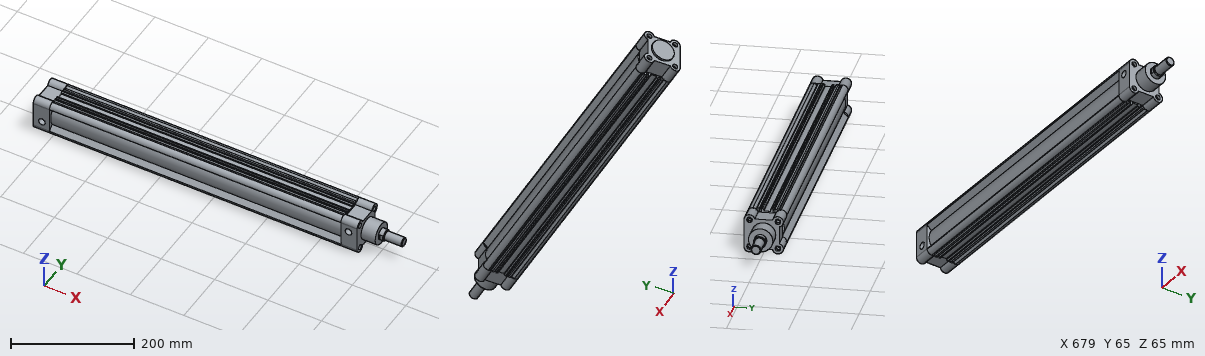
import cadquery as cq
import math

total_length = 679.0
cap_size = 65.0
half_size = cap_size / 2
boss_length = 3.5
cap_length = 30.5
collar_length = 26.5
wrench_length = 10.0
thread_length = 32.5

rear_cap_x = boss_length
barrel_x = rear_cap_x + cap_length
thread_x = total_length - thread_length
wrench_x = thread_x - wrench_length
front_cap_end = wrench_x - collar_length
front_cap_x = front_cap_end - cap_length
barrel_length = front_cap_x - barrel_x

screw_spacing = 47.0
corner_offset = screw_spacing / 2
corner_radius = half_size - corner_offset

recess_depth = 7.0
collar_diameter = 40.0
port_diameter = 12.0
port_depth = 10.0
port_inset = 16.0
port_offset = 9.5
screw_mouth_diameter = 9.0
screw_mouth_depth = 5.5
screw_hole_diameter = 7.0
screw_hole_depth = 13.5

tube_radius = 28.5
slot_floor = 28.0
rail_inner = 5.5
slot_inner = 9.5
slot_outer = 13.0
rail_outer = 18.0
rail_chamfer = 2.0

rod_diameter = 20.5
flat_width = 17.5
flat_margin = 2.0
rod_chamfer = 1.5
thread_diameter = 16.0
thread_chamfer = 1.5

CORNERS = [(y * corner_offset, z * corner_offset) for y in (-1, 1) for z in (-1, 1)]


def section_plane(x):
    """YZ plane at x, whose extrusions run toward +X."""
    return cq.Workplane("YZ", origin=(x, 0, 0))


def cap_block(x):
    """Cap with a flat port side at -Y and recesses between round corner lobes elsewhere."""
    core_half = half_size - recess_depth
    core = section_plane(x).rect(2 * core_half, 2 * core_half).extrude(cap_length)
    lobes = section_plane(x).pushPoints(CORNERS).circle(corner_radius).extrude(cap_length)
    port_side = (
        section_plane(x)
        .center(-(half_size + corner_offset) / 2, 0)
        .rect(corner_radius, 2 * corner_offset)
        .extrude(cap_length)
    )
    return core.union(lobes).union(port_side)


def port(x, z):
    """Cutter for an air port in the -Y side."""
    return cq.Workplane("XZ", origin=(x, -half_size, z)).circle(port_diameter / 2).extrude(-port_depth)


def screw_holes(face_x, inward):
    """Cutter for the four stepped screw holes; inward is +1 or -1 along X."""
    at_corners = section_plane(face_x).pushPoints(CORNERS)
    mouths = at_corners.circle(screw_mouth_diameter / 2).extrude(inward * screw_mouth_depth)
    holes = at_corners.circle(screw_hole_diameter / 2).extrude(inward * screw_hole_depth)
    return mouths.union(holes)


def make_rear_cap():
    boss = section_plane(0).circle(collar_diameter / 2).extrude(boss_length)
    return (
        cap_block(rear_cap_x)
        .union(boss)
        .cut(screw_holes(rear_cap_x, 1))
        .cut(port(rear_cap_x + port_inset, -port_offset))
    )


def make_front_cap():
    collar = section_plane(front_cap_end).circle(collar_diameter / 2).extrude(collar_length)
    rod_bore = section_plane(front_cap_x).circle(rod_diameter / 2).extrude(cap_length + collar_length)
    return (
        cap_block(front_cap_x)
        .union(collar)
        .cut(rod_bore)
        .cut(screw_holes(front_cap_end, -1))
        .cut(port(front_cap_end - port_inset, port_offset))
    )


def corner_rail(y_side, z_side):
    """Round-cornered rail with a 45 degree slope from each crest toward the tube."""
    reach = corner_offset - rail_inner
    bend = corner_offset + corner_radius * math.sqrt(0.5)
    points = [
        (half_size - reach, corner_offset - reach),
        (half_size, corner_offset),
        (bend, bend),
        (corner_offset, half_size),
        (corner_offset - reach, half_size - reach),
    ]
    start, crest_y, corner, crest_z, end = [(y_side * y, z_side * z) for y, z in points]
    return (
        section_plane(barrel_x)
        .moveTo(*start)
        .lineTo(*crest_y)
        .threePointArc(corner, crest_z)
        .lineTo(*end)
        .close()
        .extrude(barrel_length)
    )


def slotted_rail(y_side, z_side):
    """Rail standing on the tube, with chamfered top corners and a narrow sensor slot."""
    base = math.sqrt(tube_radius**2 - rail_outer**2)
    shoulder = half_size - rail_chamfer
    outline = [
        (rail_inner, base),
        (rail_inner, shoulder),
        (rail_inner + rail_chamfer, half_size),
        (slot_inner, half_size),
        (slot_inner, slot_floor),
        (slot_outer, slot_floor),
        (slot_outer, half_size),
        (rail_outer - rail_chamfer, half_size),
        (rail_outer, shoulder),
        (rail_outer, base),
    ]
    return (
        section_plane(barrel_x)
        .polyline([(y_side * y, z_side * z) for y, z in outline])
        .close()
        .extrude(barrel_length)
    )


def make_barrel():
    """Solid round tube outline with corner rails and slotted +Z and -Z sides."""
    barrel = section_plane(barrel_x).circle(tube_radius).extrude(barrel_length)
    for y_side in (-1, 1):
        for z_side in (-1, 1):
            barrel = barrel.union(corner_rail(y_side, z_side)).union(slotted_rail(y_side, z_side))
    return barrel


def make_piston_rod():
    """Rod from the barrel face through the front cap, with wrench flats and a threaded end."""
    shank = (
        section_plane(front_cap_x)
        .circle(rod_diameter / 2)
        .extrude(thread_x - front_cap_x)
        .faces(">X")
        .chamfer(rod_chamfer)
    )
    thread = (
        section_plane(thread_x)
        .circle(thread_diameter / 2)
        .extrude(thread_length)
        .faces(">X")
        .chamfer(thread_chamfer)
    )
    flat_length = wrench_length - 2 * flat_margin
    flat_depth = (rod_diameter - flat_width) / 2
    flats = (
        cq.Workplane("XY", origin=(wrench_x + wrench_length / 2, 0, 0))
        .pushPoints([(0, side * (flat_width + flat_depth) / 2) for side in (-1, 1)])
        .box(flat_length, flat_depth, rod_diameter)
    )
    return shank.union(thread).cut(flats)


rear_cap = make_rear_cap()
barrel = make_barrel()
front_cap = make_front_cap()
piston_rod = make_piston_rod()

result = cq.Compound.makeCompound([rear_cap.val(), barrel.val(), front_cap.val(), piston_rod.val()])